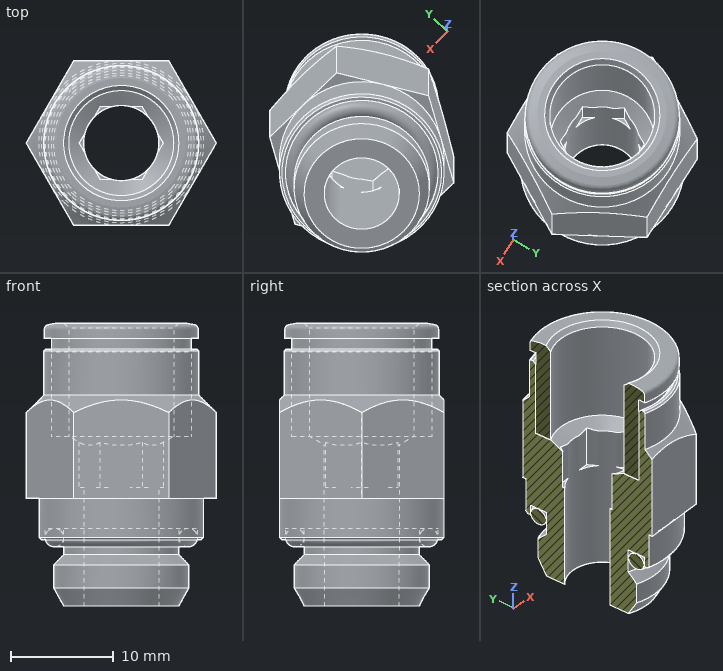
import cadquery as cq
import math

spigot_dia = 13.15
neck_dia = 11.2
spigot_tip_height = 1.75
spigot_top_z = 4.02
neck_z = 5.0

across_flats = 16.0
across_corners = across_flats / math.cos(math.radians(30))
collar_dia = across_flats
collar_bottom_z = 6.44
collar_chamfer = 0.25
hex_bottom_z = 10.48
hex_cone_top_z = 20.5
barrel_dia = 15.1
barrel_top_z = 24.97
barrel_chamfer = 0.2
barrel_mouth_chamfer = 0.28

ring_centre_dia = 13.0
ring_section_dia = ring_centre_dia - neck_dia
ring_bottom_z = 5.75
ring_centre_z = ring_bottom_z + ring_section_dia / 2

overall_height = 27.5
sleeve_dia = 13.6
sleeve_bore_dia = 10.2
sleeve_seat_z = 16.5
flange_dia = 15.0
flange_bottom_z = 26.02
flange_edge_z = 27.28
flange_fillet = 0.5
top_face_dia = 12.57
bore_mouth_dia = 11.2

through_dia = 7.3
funnel_slope = 30
funnel_height = (sleeve_bore_dia - through_dia) / 2 * math.tan(math.radians(funnel_slope))
socket_across_flats = 7.07
socket_across_corners = socket_across_flats / math.cos(math.radians(30))
socket_depth = 4.12


def revolved(profile):
    """Turn a closed (radius, z) profile about the Z axis."""
    return cq.Workplane("XZ").polyline(profile).close().revolve(360, (0, 0), (0, 1))


def cylinder(diameter, bottom_z, top_z):
    return cq.Workplane("XY", origin=(0, 0, bottom_z)).circle(diameter / 2).extrude(top_z - bottom_z)


def hexagon(corner_dia, bottom_z, top_z):
    """Hexagonal prism with two corners on the X axis."""
    return cq.Workplane("XY", origin=(0, 0, bottom_z)).polygon(6, corner_dia).extrude(top_z - bottom_z)


def make_spigot():
    return revolved([
        (0, 0),
        (neck_dia / 2, 0),
        (spigot_dia / 2, spigot_tip_height),
        (spigot_dia / 2, spigot_top_z),
        (neck_dia / 2, neck_z),
        (neck_dia / 2, collar_bottom_z),
        (0, collar_bottom_z),
    ])


def make_wrench_hexagon():
    """Hexagon whose upper corners are trimmed by a 45 degree cone."""
    cone_height = (across_corners - barrel_dia) / 2
    trim = revolved([
        (0, hex_bottom_z),
        (across_corners / 2, hex_bottom_z),
        (across_corners / 2, hex_cone_top_z - cone_height),
        (barrel_dia / 2, hex_cone_top_z),
        (0, hex_cone_top_z),
    ])
    return hexagon(across_corners, hex_bottom_z, hex_cone_top_z).intersect(trim)


def make_passage():
    """Sleeve seat, chamfered mouth, funnel, hexagon socket and through hole as one cutter."""
    funnel_bottom_z = sleeve_seat_z - funnel_height
    seat = cylinder(sleeve_dia, sleeve_seat_z, barrel_top_z)
    mouth = revolved([
        (0, barrel_top_z - barrel_mouth_chamfer),
        (sleeve_dia / 2, barrel_top_z - barrel_mouth_chamfer),
        (sleeve_dia / 2 + barrel_mouth_chamfer, barrel_top_z),
        (0, barrel_top_z),
    ])
    funnel = revolved([
        (0, funnel_bottom_z),
        (through_dia / 2, funnel_bottom_z),
        (sleeve_bore_dia / 2, sleeve_seat_z),
        (0, sleeve_seat_z),
    ])
    socket = hexagon(socket_across_corners, funnel_bottom_z - socket_depth, sleeve_seat_z)
    through_hole = cylinder(through_dia, 0, sleeve_seat_z)
    return seat.union(mouth).union(funnel).union(socket).union(through_hole)


def make_ring_recess():
    """Annular recess in the collar that houses the upper part of the O-ring."""
    recess_top_z = ring_bottom_z + ring_section_dia
    recess_dia = ring_centre_dia + ring_section_dia
    outer = cylinder(recess_dia, collar_bottom_z, recess_top_z)
    return outer.cut(cylinder(neck_dia, collar_bottom_z, recess_top_z))


def make_body():
    collar = cylinder(collar_dia, collar_bottom_z, hex_bottom_z).faces("<Z").chamfer(collar_chamfer)
    barrel = cylinder(barrel_dia, hex_bottom_z, barrel_top_z).faces(">Z").chamfer(barrel_chamfer)
    outside = make_spigot().union(collar).union(make_wrench_hexagon()).union(barrel)
    return outside.cut(make_ring_recess()).cut(make_passage())


def make_seal_ring():
    return cq.Solid.makeTorus(ring_centre_dia / 2, ring_section_dia / 2, cq.Vector(0, 0, ring_centre_z))


def make_sleeve():
    mouth_depth = (bore_mouth_dia - sleeve_bore_dia) / 2
    sleeve = revolved([
        (sleeve_bore_dia / 2, sleeve_seat_z),
        (sleeve_dia / 2, sleeve_seat_z),
        (sleeve_dia / 2, flange_bottom_z),
        (flange_dia / 2, flange_bottom_z),
        (flange_dia / 2, flange_edge_z),
        (top_face_dia / 2, overall_height),
        (bore_mouth_dia / 2, overall_height),
        (sleeve_bore_dia / 2, overall_height - mouth_depth),
    ])
    rim = cq.selectors.NearestToPointSelector((0, 0, flange_edge_z))
    return sleeve.edges(rim).fillet(flange_fillet)


body = make_body()
seal_ring = make_seal_ring()
sleeve = make_sleeve()

result = cq.Compound.makeCompound([body.val(), seal_ring, sleeve.val()])